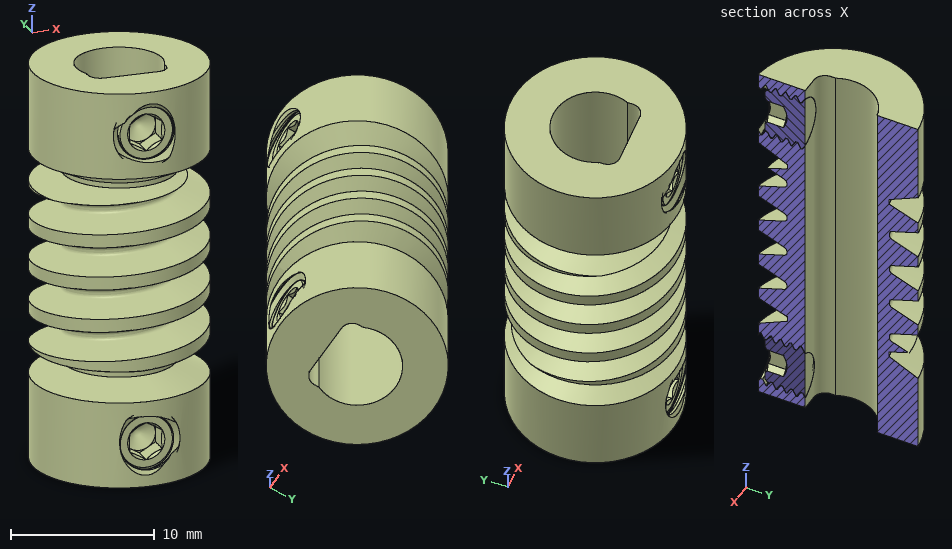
import cadquery as cq
import math


def tan_deg(angle):
    return math.tan(math.radians(angle))


LENGTH = 29.25
OUTER_R = 6.35
COLLAR_LENGTH = 6.32
CUT_CLEARANCE = 0.3

WORM_PITCH = 3.139
WORM_TURNS = 4.6
WORM_ROOT_R = 4.12
WORM_ROOT_WIDTH = 0.55
WORM_ROOT_FILLET = 0.25
WORM_FLANK_ANGLE = 20.0

RELIEF_R = 4.1
RELIEF_DEPTH = OUTER_R - RELIEF_R
RELIEF_ROOT_WIDTH = 0.38
COLLAR_FLANK_ANGLE = 26.0
COLLAR_END = LENGTH / 2 - COLLAR_LENGTH
RELIEF_TOP = COLLAR_END - RELIEF_DEPTH * tan_deg(COLLAR_FLANK_ANGLE)
RELIEF_BOTTOM = RELIEF_TOP - RELIEF_ROOT_WIDTH
THREAD_END = RELIEF_BOTTOM - RELIEF_DEPTH * tan_deg(WORM_FLANK_ANGLE)

BORE_R = 3.15
FLAT_DISTANCE = 2.57
FLAT_WIDTH = 5.73
FLAT_CORNER_R = 0.88

SCREW_HEIGHT = (LENGTH - COLLAR_LENGTH) / 2
SCREW_PITCH = 0.793
SCREW_MINOR_R = 2.0
SCREW_MAJOR_R = 2.45
SCREW_CREST_WIDTH = 0.05
SCREW_FLANK_ANGLE = 30.0
RIDGE_START = 1.52
RIDGE_LENGTH = 5.12
RIDGE_OVERLAP = 0.05
CORE_START = 0.88
CORE_END = 7.6

SCREW_TIP = FLAT_DISTANCE
SCREW_FACE = 5.75
SCREW_FACE_R = 1.93
SOCKET_FLATS = 2.37
SOCKET_CORNER_R = SOCKET_FLATS / math.sqrt(3)
SOCKET_DEPTH = 1.45
SOCKET_FLOOR = SCREW_FACE - SOCKET_DEPTH
DRILL_HALF_ANGLE = 60.0


def turned(outline):
    """Revolve an outline of (radius, height) points about the Z axis."""
    return cq.Workplane("XZ").polyline(outline).close().revolve(360, (0, 0), (0, 1))


def helical(profile, pitch, height, radius):
    """Sweep a profile in the XZ plane along a right-handed helix that starts at z = 0."""
    path = cq.Workplane(cq.Wire.makeHelix(pitch, height, radius))
    return profile.sweep(path, isFrenet=True)


def collar():
    """Upper end collar with the conical flank that leads down to the relief."""
    return turned(
        [
            (0, RELIEF_TOP),
            (RELIEF_R, RELIEF_TOP),
            (OUTER_R, COLLAR_END),
            (OUTER_R, LENGTH / 2),
            (0, LENGTH / 2),
        ]
    )


def thread_blank():
    """Plain cylinder between the collars with a turned relief at each end."""
    upper = [(OUTER_R, THREAD_END), (RELIEF_R, RELIEF_BOTTOM), (RELIEF_R, RELIEF_TOP)]
    lower = [(r, -z) for r, z in reversed(upper)]
    return turned([(0, -RELIEF_TOP), *lower, *upper, (0, RELIEF_TOP)])


def worm_groove():
    """Helical tooth space with filleted root corners, at z = 0 on the +X side."""
    height = WORM_TURNS * WORM_PITCH
    flank = math.radians(WORM_FLANK_ANGLE)
    cut_r = OUTER_R + CUT_CLEARANCE
    half_mouth = WORM_ROOT_WIDTH / 2 + (cut_r - WORM_ROOT_R) * math.tan(flank)
    half_flat = WORM_ROOT_WIDTH / 2 - WORM_ROOT_FILLET * math.tan((math.pi / 2 - flank) / 2)
    half_fillet = half_flat + WORM_ROOT_FILLET * math.cos(flank)
    fillet_r = WORM_ROOT_R + WORM_ROOT_FILLET * (1 - math.sin(flank))
    profile = (
        cq.Workplane("XZ")
        .moveTo(WORM_ROOT_R, -half_flat)
        .lineTo(WORM_ROOT_R, half_flat)
        .tangentArcPoint((fillet_r, half_fillet), relative=False)
        .lineTo(cut_r, half_mouth)
        .lineTo(cut_r, -half_mouth)
        .lineTo(fillet_r, -half_fillet)
        .tangentArcPoint((WORM_ROOT_R, -half_flat), relative=False)
        .close()
    )
    groove = helical(profile, WORM_PITCH, height, WORM_ROOT_R).translate((0, 0, -height / 2))
    return groove.rotate((0, 0, 0), (0, 0, 1), -WORM_TURNS / 2 * 360)


def d_bore():
    """Round bore with a flat on the -Y side that ends in rounded corners."""
    above_flat = cq.Workplane("XY").box(2 * BORE_R, FLAT_DISTANCE + BORE_R, LENGTH)
    above_flat = above_flat.translate((0, (BORE_R - FLAT_DISTANCE) / 2, 0))
    round_part = cq.Workplane("XY").circle(BORE_R).extrude(LENGTH / 2, both=True).intersect(above_flat)
    flat_part = (
        cq.Workplane("XY")
        .box(FLAT_WIDTH, FLAT_DISTANCE, LENGTH)
        .translate((0, -FLAT_DISTANCE / 2, 0))
        .edges("|Z and <Y")
        .fillet(FLAT_CORNER_R)
    )
    return round_part.union(flat_part)


def worm_body(screw_holes):
    """Grooved thread with a collar at each end, the bore and the screw holes."""
    upper_collar = collar()
    body = thread_blank().cut(worm_groove())
    body = body.union(upper_collar).union(upper_collar.mirror("XY")).cut(d_bore())
    for hole in screw_holes:
        body = body.cut(hole)
    return body


def screw_thread():
    """Cylinder with a helical ridge along +Z; it shapes both the screws and their holes."""
    base_r = SCREW_MINOR_R - RIDGE_OVERLAP
    half_crest = SCREW_CREST_WIDTH / 2
    half_base = half_crest + (SCREW_MAJOR_R - base_r) * tan_deg(SCREW_FLANK_ANGLE)
    profile = (
        cq.Workplane("XZ")
        .moveTo(base_r, -half_base)
        .lineTo(SCREW_MAJOR_R, -half_crest)
        .lineTo(SCREW_MAJOR_R, half_crest)
        .lineTo(base_r, half_base)
        .close()
    )
    ridge = helical(profile, SCREW_PITCH, RIDGE_LENGTH, SCREW_MINOR_R).translate((0, 0, RIDGE_START))
    core = cq.Workplane("XY", origin=(0, 0, CORE_START)).circle(SCREW_MINOR_R).extrude(CORE_END - CORE_START)
    return core.union(ridge)


def hex_socket():
    """Hexagon socket with a chamfered mouth and a drill point below its floor."""
    drill_r = SOCKET_FLATS / 2
    hexagon = (
        cq.Workplane("XY", origin=(0, 0, SOCKET_FLOOR))
        .polygon(6, 2 * SOCKET_CORNER_R)
        .extrude(SOCKET_DEPTH)
        .rotate((0, 0, 0), (0, 0, 1), 30)
    )
    drill_end = SOCKET_FLOOR - drill_r / tan_deg(DRILL_HALF_ANGLE)
    drill_point = turned([(0, drill_end), (drill_r, SOCKET_FLOOR), (0, SOCKET_FLOOR)])
    mouth_end = SCREW_FACE - SOCKET_CORNER_R
    mouth = turned([(0, mouth_end), (SOCKET_CORNER_R, SCREW_FACE), (0, SCREW_FACE)])
    return hexagon.union(drill_point).union(mouth)


def set_screw(thread):
    """Threaded screw along +Z with a chamfered outer face and a hexagon socket."""
    envelope_r = SCREW_MAJOR_R + CUT_CLEARANCE
    envelope = turned(
        [
            (0, SCREW_TIP),
            (envelope_r, SCREW_TIP),
            (envelope_r, SCREW_FACE - (envelope_r - SCREW_FACE_R)),
            (SCREW_FACE_R, SCREW_FACE),
            (0, SCREW_FACE),
        ]
    )
    return envelope.cut(hex_socket()).intersect(thread)


def in_collars(shape):
    """Turn a +Z shape to point at -Y in the upper collar, and repeat it half a turn about Y."""
    upper = shape.rotate((0, 0, 0), (1, 0, 0), 90).translate((0, 0, SCREW_HEIGHT))
    return [upper.rotate((0, 0, 0), (0, 1, 0), turn) for turn in (0, 180)]


thread = screw_thread()
worm = worm_body(in_collars(thread))
set_screws = in_collars(set_screw(thread))

screw_solids = [screw.solids().val() for screw in set_screws]
result = cq.Compound.makeCompound([worm.solids().val(), *screw_solids])